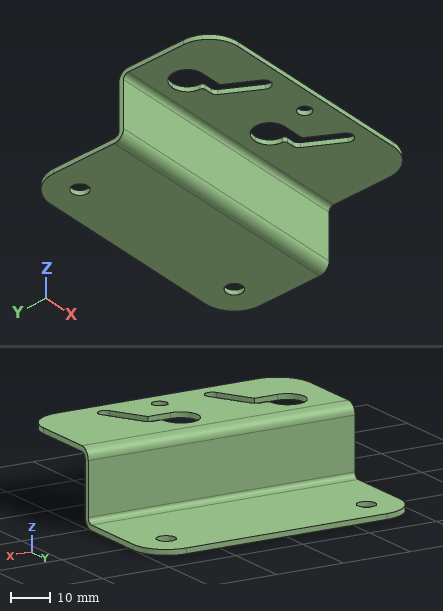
import cadquery as cq
import math

length = 80.0
depth = 64.0
height = 21.6
thickness = 1.6
bend_inner_radius = 1.6
bend_outer_radius = bend_inner_radius + thickness
corner_radius = 10.0

mount_hole_diameter = 5.2
mount_hole_x = length / 2 - corner_radius
mount_hole_y = depth / 2 - corner_radius
lock_hole_diameter = 4.2
lock_hole_x = 3.0
lock_hole_y = -25.6

entry_diameter = 10.0
entry_radius = entry_diameter / 2
entry_x = -27.0
entry_y = -12.0
keyhole_pitch = 32.0
slot_width = 4.2
slot_angle = math.radians(60)
slot_end_dx = 14.2
slot_end_dy = lock_hole_y - entry_y
elbow_radius = 2.0
neck_radius = 1.0


def make_bent_sheet():
    """Lower flange at +Y, upright wall with its back on Y = 0, upper flange at -Y."""
    half = depth / 2
    profile = (
        cq.Workplane("YZ")
        .moveTo(half, 0)
        .lineTo(-thickness, 0)
        .lineTo(-thickness, height - thickness)
        .lineTo(-half, height - thickness)
        .lineTo(-half, height)
        .lineTo(0, height)
        .lineTo(0, thickness)
        .lineTo(half, thickness)
        .close()
    )
    sheet = profile.extrude(length / 2, both=True)

    def round_bend(body, y, z, radius):
        edge = cq.selectors.NearestToPointSelector((0, y, z))
        return body.edges("|X").edges(edge).fillet(radius)

    sheet = round_bend(sheet, -thickness, 0, bend_outer_radius)
    sheet = round_bend(sheet, 0, thickness, bend_inner_radius)
    sheet = round_bend(sheet, 0, height, bend_outer_radius)
    return round_bend(sheet, -thickness, height - thickness, bend_inner_radius)


def make_corner_envelope():
    """Block with the rounded plan outline of the bracket."""
    block = cq.Workplane("XY").box(length, depth, height, centered=(True, True, False))
    return block.edges("|Z").fillet(corner_radius)


def make_keyhole_cutter():
    """Keyhole through the upper flange, with its entry centred on X = Y = 0."""
    half_width = slot_width / 2
    neck_bottom = -entry_radius
    neck_top = neck_bottom + slot_width
    along_x = math.cos(slot_angle)
    along_y = -math.sin(slot_angle)
    side_x = -along_y * half_width
    side_y = along_x * half_width
    right = (slot_end_dx + side_x, slot_end_dy + side_y)
    left = (slot_end_dx - side_x, slot_end_dy - side_y)
    tip = (slot_end_dx + half_width * along_x, slot_end_dy + half_width * along_y)

    outer_x = right[0] - (neck_top - right[1]) / math.tan(slot_angle)
    inner_x = left[0] - (neck_bottom - left[1]) / math.tan(slot_angle)
    elbow_setback = elbow_radius * math.tan(slot_angle / 2)
    elbow_end = (
        outer_x + elbow_setback * along_x,
        neck_top + elbow_setback * along_y,
    )

    round_y = neck_top + neck_radius
    round_x = math.sqrt((entry_radius + neck_radius) ** 2 - round_y**2)
    contact = entry_radius / (entry_radius + neck_radius)
    neck_start = (round_x * contact, round_y * contact)

    entry_side = (entry_radius * along_x, -entry_radius * along_y)

    return (
        cq.Workplane("XY")
        .workplane(offset=height - thickness)
        .moveTo(0, neck_bottom)
        .threePointArc((-entry_radius, 0), (0, entry_radius))
        .threePointArc(entry_side, neck_start)
        .radiusArc((round_x, neck_top), -neck_radius)
        .lineTo(outer_x - elbow_setback, neck_top)
        .radiusArc(elbow_end, elbow_radius)
        .lineTo(*right)
        .threePointArc(tip, left)
        .lineTo(inner_x, neck_bottom)
        .close()
        .extrude(thickness)
    )


def make_hole_cutter(x, y, diameter):
    return cq.Workplane("XY").center(x, y).circle(diameter / 2).extrude(height)


result = make_bent_sheet().intersect(make_corner_envelope())

for side in (-1, 1):
    result = result.cut(make_hole_cutter(side * mount_hole_x, mount_hole_y, mount_hole_diameter))
result = result.cut(make_hole_cutter(lock_hole_x, lock_hole_y, lock_hole_diameter))

keyhole = make_keyhole_cutter()
for index in range(2):
    result = result.cut(keyhole.translate((entry_x + index * keyhole_pitch, entry_y, 0)))